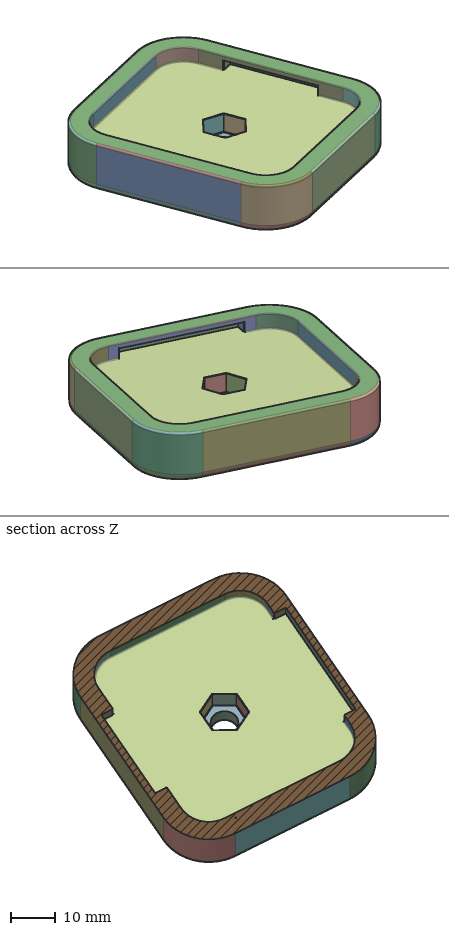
import cadquery as cq
import math

length = 60.3
width = 53.2
height = 12.25
corner_radius = 11.8
base_fillet = 1.9
rim_fillet = 0.5

rim_width = 4.75
recess_depth = 3.75
recess_length = length - 2 * rim_width
recess_width = width - 2 * rim_width
recess_radius = corner_radius - rim_width
floor_z = height - recess_depth

recess_fillet = 0.2

undercut_height = 2.5
undercut_depth = 3.0
back_undercut_length = 23.75
front_undercut_length = 30.85

nut_across_flats = 9.35
nut_across_corners = nut_across_flats / math.cos(math.pi / 6)
nut_depth = 4.75
nut_bevel = 0.1
hole_diameter = 6.25


def rounded_block(x_size, y_size, z_size, radius, base_z):
    """Upright block centred on the Z axis with rounded vertical edges."""
    block = cq.Workplane("XY").workplane(offset=base_z).rect(x_size, y_size).extrude(z_size)
    return block.edges("|Z").fillet(radius)


def tray_body():
    """Rounded block with the recess, before the undercuts and the nut seat."""
    block = rounded_block(length, width, height, corner_radius, 0)
    block = block.faces("<Z").edges().fillet(base_fillet)
    block = block.faces(">Z").edges().fillet(rim_fillet)
    recess = rounded_block(recess_length, recess_width, recess_depth, recess_radius, floor_z)
    recess = recess.faces("<Z").edges().fillet(recess_fillet)
    mouth_box = cq.selectors.BoxSelector(
        (-recess_length / 2 - rim_fillet, -recess_width / 2 - rim_fillet, height - rim_fillet),
        (recess_length / 2 + rim_fillet, recess_width / 2 + rim_fillet, height + rim_fillet),
    )
    return block.cut(recess).faces(">Z").edges(mouth_box).fillet(recess_fillet)


def undercut(inner_length):
    """Slot into the +Y rim wall, with its two ends rounded where it opens into the recess."""
    wall_y = recess_width / 2
    half_length = inner_length / 2
    half_opening = half_length + recess_fillet
    return (
        cq.Workplane("XY")
        .workplane(offset=floor_z)
        .moveTo(-half_length, wall_y + undercut_depth)
        .lineTo(-half_length, wall_y + recess_fillet)
        .radiusArc((-half_opening, wall_y), -recess_fillet)
        .lineTo(-half_opening, wall_y - recess_fillet)
        .lineTo(half_opening, wall_y - recess_fillet)
        .lineTo(half_opening, wall_y)
        .radiusArc((half_length, wall_y + recess_fillet), -recess_fillet)
        .lineTo(half_length, wall_y + undercut_depth)
        .close()
        .extrude(undercut_height)
    )


def nut_seat():
    """Nut pocket with a flared mouth and a bevelled floor edge, and the bolt hole below it."""
    pocket = (
        cq.Workplane("XY")
        .workplane(offset=floor_z)
        .polygon(6, nut_across_corners)
        .extrude(-nut_depth)
    )
    pocket = pocket.faces("<Z").edges().chamfer(nut_bevel)
    mouth = (
        cq.Workplane("XY")
        .workplane(offset=floor_z - nut_bevel)
        .polygon(6, nut_across_corners)
        .extrude(nut_bevel, taper=-45)
    )
    hole = cq.Workplane("XY").circle(hole_diameter / 2).extrude(floor_z)
    return pocket.union(mouth).union(hole)


back_undercut = undercut(back_undercut_length)
front_undercut = undercut(front_undercut_length).mirror("XZ")

result = tray_body().cut(back_undercut).cut(front_undercut).cut(nut_seat())